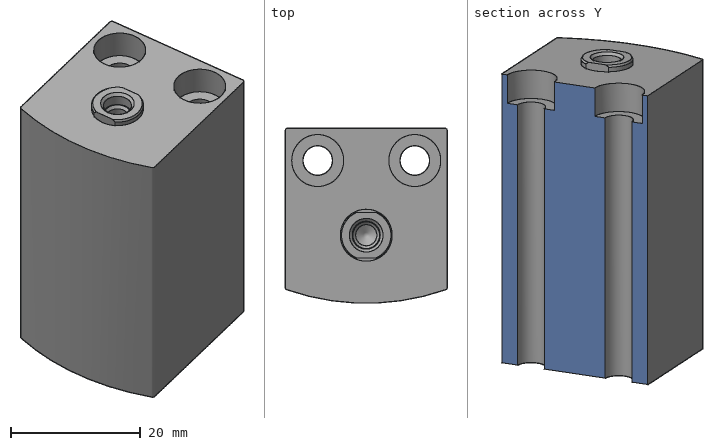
import cadquery as cq
import math

overall_height = 48.0
rod_projection = 1.05
width = 25.0
depth = 27.0
front_radius = 36.95
edge_radius = 0.4
block_height = overall_height - rod_projection
back_y = depth / 2
front_y = -depth / 2
half_width = width / 2
front_sag = front_radius - math.sqrt(front_radius**2 - half_width**2)
shoulder_y = front_y + front_sag

mount_x = 7.5
mount_back_offset = 5.0
mount_diameter = 4.5
mount_head_diameter = 8.0
mount_head_depth = 4.6

rod_diameter = 8.0
rod_back_offset = 16.5
rod_y = back_y - rod_back_offset
rod_insertion = 19.2
rod_length = rod_insertion + rod_projection
rod_chamfer_height = 0.35
rod_chamfer_width = 0.2
across_flats = 7.0
flat_depth_below_block_top = 0.95
flat_height = rod_projection + flat_depth_below_block_top

mouth_diameter = 5.2
recess_diameter = 4.3
recess_depth = 2.1
thread_diameter = 4.15
drill_diameter = 3.25
step_chamfer = (thread_diameter - drill_diameter) / 2
drill_depth = 9.6
drill_point_angle = 118.0


def make_block():
    """Rectangular block with a bowed front face and rounded vertical edges."""
    block = (
        cq.Workplane("XY")
        .moveTo(-half_width, back_y)
        .lineTo(half_width, back_y)
        .lineTo(half_width, shoulder_y)
        .threePointArc((0, front_y), (-half_width, shoulder_y))
        .close()
        .extrude(block_height)
        .edges("|Z")
        .fillet(edge_radius)
    )
    mounting_points = [(side * mount_x, back_y - mount_back_offset) for side in (-1, 1)]
    block = (
        block.faces(">Z")
        .workplane(origin=(0, 0, block_height))
        .pushPoints(mounting_points)
        .cboreHole(mount_diameter, mount_head_diameter, mount_head_depth)
    )
    socket = (
        cq.Workplane("XY", origin=(0, rod_y, block_height - rod_insertion))
        .circle(rod_diameter / 2)
        .extrude(rod_insertion)
    )
    return block.cut(socket)


def make_rod_hole():
    """Revolved cutter: countersink, clearance recess, conical step, drilled hole and point."""
    mouth_radius = mouth_diameter / 2
    recess_radius = recess_diameter / 2
    thread_radius = thread_diameter / 2
    drill_radius = drill_diameter / 2
    mouth_depth = mouth_radius - recess_radius
    point_depth = drill_radius / math.tan(math.radians(drill_point_angle / 2))
    profile = [
        (0, 0),
        (mouth_radius, 0),
        (recess_radius, -mouth_depth),
        (recess_radius, -recess_depth),
        (thread_radius, -recess_depth),
        (drill_radius, -recess_depth - step_chamfer),
        (drill_radius, -drill_depth),
        (0, -drill_depth - point_depth),
    ]
    cutter = cq.Workplane("XZ").polyline(profile).close().revolve(360, (0, 0, 0), (0, 1, 0))
    return cutter.translate((0, rod_y, overall_height))


def make_rod():
    """Chamfered rod with two wrench flats that run below the top of the block."""
    rod = (
        cq.Workplane("XY", origin=(0, rod_y, block_height - rod_insertion))
        .circle(rod_diameter / 2)
        .extrude(rod_length)
        .faces(">Z")
        .chamfer(rod_chamfer_height, rod_chamfer_width)
    )
    flat_cut_width = (rod_diameter - across_flats) / 2
    flat_center_offset = (across_flats + flat_cut_width) / 2
    for side in (-1, 1):
        flat = (
            cq.Workplane("XY", origin=(0, rod_y + side * flat_center_offset, overall_height - flat_height))
            .rect(rod_diameter, flat_cut_width)
            .extrude(flat_height)
        )
        rod = rod.cut(flat)
    return rod.cut(make_rod_hole())


block = make_block()
rod = make_rod()
result = cq.Compound.makeCompound([block.val(), rod.val()])